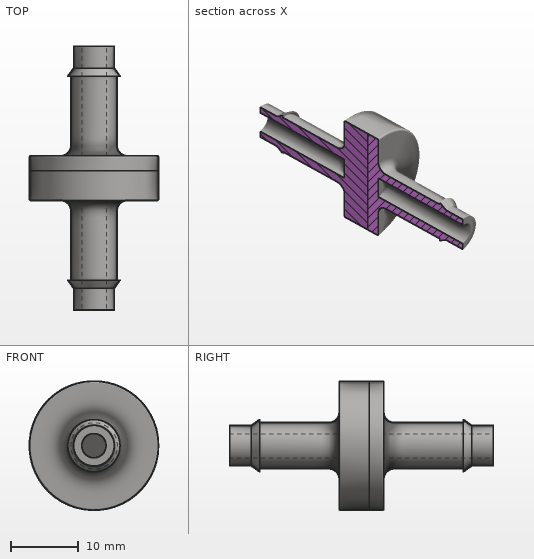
import cadquery as cq
import math

total_length = 38.85
disc_diameter = 19.05
disc_thickness = 6.6
disc_edge_round = 0.27
seam_y = 1.13

stem_diameter = 6.85
root_fillet = 1.45
barb_diameter = 7.7
barb_length = 1.2
tip_diameter = 6.0
tip_length = 3.23
bore_diameter = 3.58

end_y = total_length / 2
disc_face_y = disc_thickness / 2
barb_front_y = end_y - tip_length
barb_back_y = barb_front_y - barb_length
bore_depth = end_y - disc_face_y

disc_radius = disc_diameter / 2
stem_radius = stem_diameter / 2
barb_radius = barb_diameter / 2
tip_radius = tip_diameter / 2
bore_radius = bore_diameter / 2


def point_on_circle(center_x, center_y, radius, angle):
    """Point on a circle at an angle in degrees."""
    turn = math.radians(angle)
    return (center_x + radius * math.cos(turn), center_y + radius * math.sin(turn))


def housing_half(joint_y, direction):
    """Disc half with its barbed stem and blind bore; direction is +1 or -1 along Y.

    joint_y is the seam position measured towards the stem, before any mirroring.
    """
    edge_center = disc_radius - disc_edge_round
    edge_middle = point_on_circle(edge_center, disc_face_y - disc_edge_round, disc_edge_round, 45)
    root_center = stem_radius + root_fillet
    root_middle = point_on_circle(root_center, disc_face_y + root_fillet, root_fillet, 225)
    half = (
        cq.Workplane("XY")
        .moveTo(0, joint_y)
        .lineTo(disc_radius, joint_y)
        .lineTo(disc_radius, disc_face_y - disc_edge_round)
        .threePointArc(edge_middle, (edge_center, disc_face_y))
        .lineTo(root_center, disc_face_y)
        .threePointArc(root_middle, (stem_radius, disc_face_y + root_fillet))
        .lineTo(stem_radius, barb_back_y)
        .lineTo(barb_radius, barb_back_y)
        .lineTo(tip_radius, barb_front_y)
        .lineTo(tip_radius, end_y)
        .lineTo(bore_radius, end_y)
        .lineTo(bore_radius, end_y - bore_depth)
        .lineTo(0, end_y - bore_depth)
        .close()
        .revolve(360, (0, 0, 0), (0, 1, 0))
    )
    return half if direction > 0 else half.mirror("XZ")


rear_housing = housing_half(seam_y, 1)
front_housing = housing_half(-seam_y, -1)

result = cq.Compound.makeCompound([rear_housing.val(), front_housing.val()])